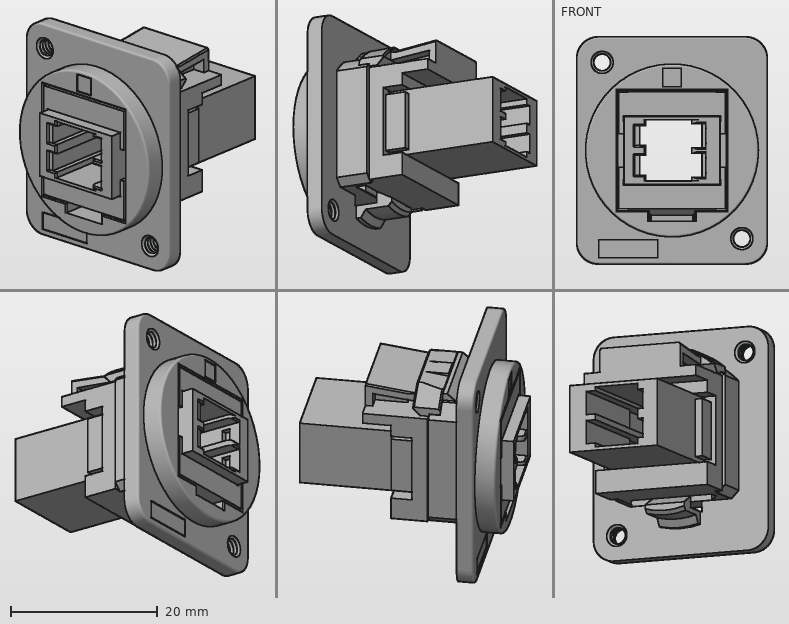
import cadquery as cq
import math


plate_width = 26.0
plate_height = 31.0
plate_thickness = 2.32
plate_corner = 3.0
boss_radius = 11.78
boss_depth = 2.82
edge_round = 0.3
boss_front = -(plate_thickness + boss_depth)

hole_x = 9.52
hole_z = 12.0
thread_minor = 2.25
thread_major = 3.0
thread_turns = 4

label_depth = 0.15
boss_label = (2.48, 2.48, 0.0, 9.95)
plate_label = (8.05, 2.48, -5.95, -13.4)

window_half_width = 7.4
window_half_height = 8.18
window_chamfer = 0.2
slot_half_width = 3.13
slot_floor = -9.6

shroud_half_width = 8.62
shroud_length = 4.65
shroud_top = 9.83
shroud_bevel = 1.1
catch_y = 3.13
catch_bar_top = 8.6
catch_opening_front = 0.7
latch_half_width = 5.98

clip_half_width = 2.88
clip_length = 5.5
clip_root_radius = 11.75
clip_root_length = 0.7
clip_arm_radius = 10.7
clip_arm_start = 1.5
clip_tip_chamfer = 0.53
hook_tip_z = -9.2

core_half_width = 7.22
frame_half_height = 7.97
frame_half_width = 8.3
flange_front = 4.85
pocket_y = 7.0
jaw_y = 9.9
shelf_y = 13.83
shelf_bottom = 6.48
rear_slot_half_height = 4.8
side_notch_half_height = 2.25
fit_gap = 0.1
lower_barb_start = 1.6
lower_barb_tip = -8.8

post_thickness = 1.0
arm_top_rear = 11.25
arm_top_front = 10.45
arm_bottom_rear = 9.9
arm_chamfer = 0.22
rib_half_width = 4.15
rib_front = 8.3
latch_bottom = 8.25
latch_toe_y = 5.9
barb_top = 10.85
barb_crest_y = 2.5
barb_nose_z = 9.3
head_half_width = 8.0
head_rear = 6.95
head_bottom = 9.3
head_chamfer = 0.22
head_top = 11.53
head_radius = 12.4
ramp_start_y = 6.2
ramp_end_z = 11.13
ramp_inner_x = 1.52

adapter_half_width = 6.5
adapter_half_height = 4.62
adapter_front = -6.75
adapter_rear = 22.85
ear_half_width = 7.6
ear_half_height = 3.97
ear_rear = 9.98
bore_left = -3.6
bore_right = 2.67
bore_half_height = 4.15
key_left = -4.37
key_bottom = 0.68
key_top = 3.35
key_chamfer = 0.22
key_entry_left = -5.05
slide_entry_right = 4.62
slide_right = 4.05
slide_bottom = 0.4
slide_top = 3.63
slide_step_y = (adapter_front + adapter_rear) / 2
slide_chamfer = 0.22
rib_nose_radius = 0.9
catch_window = (4.62, 5.55, -5.05, -3.78, 1.0, 3.05)


def block(x0, x1, y0, y1, z0, z1):
    """Box between opposite corners."""
    return cq.Workplane("XY").box(x1 - x0, y1 - y0, z1 - z0, centered=False).translate((x0, y0, z0))


def side_profile(points, half_width):
    """Prism from (y, z) points, centred on X = 0."""
    return cq.Workplane("YZ").polyline(points).close().extrude(half_width, both=True)


def flared_pocket(x0, x1, z0, z1, flare, front):
    """Tapered entry whose mouth is larger by `flare` on every side and as deep as `flare`."""
    mouth = cq.Workplane("XZ", origin=((x0 + x1) / 2, front + flare, (z0 + z1) / 2))
    return mouth.rect(x1 - x0, z1 - z0).extrude(flare, taper=-45)


def threaded_hole(x, z):
    """Cutter for a plate-deep hole whose thread is a stack of ring-shaped V grooves."""
    minor = thread_minor / 2
    major = thread_major / 2
    pitch = plate_thickness / thread_turns
    points = [(0, 0), (major, 0)]
    for turn in range(thread_turns):
        points.append((minor, (turn + 0.5) * pitch))
        points.append((major, (turn + 1) * pitch))
    points.append((0, plate_thickness))
    cutter = cq.Workplane("XY").polyline(points).close().revolve(360, (0, 0), (0, 1))
    return cutter.translate((x, -plate_thickness, z))


def label_recess(width, height, x, z, face_y):
    return block(x - width / 2, x + width / 2, face_y, face_y + label_depth, z - height / 2, z + height / 2)


def front_panel():
    """Round-cornered flange plate with the round boss on its front."""
    plate = cq.Workplane("XZ").rect(plate_width, plate_height).extrude(plate_thickness)
    plate = plate.edges("|Y").fillet(plate_corner).faces("<Y").edges().fillet(edge_round)
    boss = cq.Workplane("XZ").circle(boss_radius).extrude(-boss_front)
    return plate.union(boss.faces("<Y").edges().fillet(edge_round))


def shroud():
    """Round-cornered hood with an open bottom and an opening for the latch barb in its top."""
    shoulder_x = math.sqrt(boss_radius**2 - shroud_top**2)
    shoulder_z = math.sqrt(boss_radius**2 - shroud_half_width**2)
    middle = (math.atan2(shroud_top, shoulder_x) + math.atan2(shoulder_z, shroud_half_width)) / 2
    arc_x = boss_radius * math.cos(middle)
    arc_z = boss_radius * math.sin(middle)
    bottom = -window_half_height
    bevel_x = shroud_half_width - shroud_bevel
    body = (
        cq.Workplane("XZ")
        .moveTo(-shoulder_x, shroud_top)
        .lineTo(shoulder_x, shroud_top)
        .threePointArc((arc_x, arc_z), (shroud_half_width, shoulder_z))
        .lineTo(shroud_half_width, bottom + shroud_bevel)
        .lineTo(bevel_x, bottom)
        .lineTo(-bevel_x, bottom)
        .lineTo(-shroud_half_width, bottom + shroud_bevel)
        .lineTo(-shroud_half_width, shoulder_z)
        .threePointArc((-arc_x, arc_z), (-shoulder_x, shroud_top))
        .close()
        .extrude(-shroud_length)
    )
    side = shroud_half_width
    rear_step = block(-side, side, catch_y, shroud_length, catch_bar_top, shroud_top)
    half = latch_half_width
    barb_opening = block(-half, half, catch_opening_front, catch_y, 0, shroud_top)
    return body.cut(rear_step).cut(barb_opening)


def spring_clip():
    """Hooked tongue whose underside is a surface of revolution about the Y axis."""
    hook_top = -frame_half_height
    side = side_profile(
        [
            (0, slot_floor),
            (catch_y, slot_floor),
            (catch_y, hook_top),
            (clip_length, hook_tip_z),
            (clip_length, -clip_root_radius),
            (0, -clip_root_radius),
        ],
        clip_half_width,
    )
    underside = (
        cq.Workplane("XY")
        .polyline(
            [
                (0, 0),
                (clip_root_radius, 0),
                (clip_root_radius, clip_root_length),
                (clip_arm_radius, clip_arm_start),
                (clip_arm_radius, clip_length - clip_tip_chamfer),
                (clip_arm_radius - clip_tip_chamfer, clip_length),
                (0, clip_length),
            ]
        )
        .close()
        .revolve(360, (0, 0), (0, 1))
    )
    return side.intersect(underside)


def make_housing():
    w = window_half_width
    h = window_half_height
    body = front_panel().union(shroud())
    body = body.cut(block(-w, w, boss_front, shroud_length, -h, h))
    body = body.cut(block(-slot_half_width, slot_half_width, boss_front, 0, slot_floor, -h))
    body = body.faces("<Y").edges("%LINE and (not <Z)").chamfer(window_chamfer)
    body = body.union(spring_clip())
    body = body.cut(label_recess(*boss_label, boss_front))
    body = body.cut(label_recess(*plate_label, -plate_thickness))
    for sign in (-1, 1):
        body = body.cut(threaded_hole(sign * hole_x, -sign * hole_z))
    return body


def latch_arm():
    """Post, sloping arm and barb, with a groove underneath for the catch bar of the housing."""
    post_front = shelf_y - post_thickness
    arm = side_profile(
        [
            (shelf_y, frame_half_height),
            (shelf_y, arm_top_rear),
            (head_rear, arm_top_front),
            (catch_y, barb_top),
            (barb_crest_y, barb_top),
            (catch_opening_front, barb_nose_z),
            (catch_opening_front, latch_bottom),
            (catch_y, latch_bottom),
            (catch_y, catch_bar_top),
            (shroud_length, catch_bar_top),
            (shroud_length, latch_bottom),
            (latch_toe_y, latch_bottom),
            (head_rear, head_bottom),
            (post_front, arm_bottom_rear),
            (post_front, frame_half_height),
        ],
        latch_half_width,
    )
    reach = 0.3
    mid_y = (shelf_y + head_rear) / 2
    mid_z = (arm_top_rear + arm_top_front) / 2
    for x in (-latch_half_width, latch_half_width):
        near = cq.selectors.BoxSelector(
            (x - reach, mid_y - reach, mid_z - reach), (x + reach, mid_y + reach, mid_z + reach)
        )
        arm = arm.edges(near).chamfer(arm_chamfer)
    rib = side_profile(
        [
            (post_front, frame_half_height),
            (post_front, arm_bottom_rear),
            (head_rear, head_bottom),
            (rib_front, head_bottom),
            (rib_front, frame_half_height),
        ],
        rib_half_width,
    )
    return arm.union(rib)


def latch_head():
    """Wide thumb piece: a round top trimmed flat, with a sloping ramp on each side of the middle."""
    head_depth = head_rear - catch_y
    head = cq.Workplane("XZ", origin=(0, catch_y, 0)).circle(head_radius).extrude(-head_depth)
    head = head.faces("|Y").edges().chamfer(head_chamfer)
    trim = side_profile(
        [
            (catch_y, catch_bar_top),
            (shroud_length, catch_bar_top),
            (shroud_length, latch_bottom),
            (latch_toe_y, latch_bottom),
            (head_rear, head_bottom),
            (head_rear, head_top - head_chamfer),
            (head_rear - head_chamfer, head_top),
            (catch_y, head_top),
        ],
        head_half_width,
    )
    ramp = side_profile(
        [(ramp_start_y, head_top), (catch_y, head_top), (catch_y, ramp_end_z)],
        head_half_width,
    )
    middle = block(-ramp_inner_x, ramp_inner_x, catch_y, ramp_start_y, head_bottom, head_top)
    return head.intersect(trim).cut(ramp.cut(middle))


def make_frame():
    h = frame_half_height
    wide = frame_half_width
    core = block(-core_half_width, core_half_width, boss_front, flange_front, -h, h)
    rear = side_profile(
        [
            (flange_front, -h),
            (jaw_y, -h),
            (jaw_y, -rear_slot_half_height),
            (pocket_y, -rear_slot_half_height),
            (pocket_y, rear_slot_half_height),
            (jaw_y, rear_slot_half_height),
            (jaw_y, shelf_bottom),
            (shelf_y, shelf_bottom),
            (shelf_y, h),
            (flange_front, h),
        ],
        wide,
    )
    lower_barb = side_profile(
        [(lower_barb_start, -h), (catch_y, -h), (catch_y, lower_barb_tip)], latch_half_width
    )
    body = core.union(rear).union(lower_barb)
    opening_x = adapter_half_width + fit_gap
    opening_z = adapter_half_height + fit_gap
    body = body.cut(block(-opening_x, opening_x, boss_front, pocket_y, -opening_z, opening_z))
    notch = side_notch_half_height
    body = body.cut(block(-core_half_width, core_half_width, boss_front, flange_front, -notch, notch))
    return body.union(latch_arm()).union(latch_head())


def port_keyways(sign):
    """Cutters on both sides of one port; `sign` is +1 for the upper port, -1 for the lower one."""
    key_z = sorted((sign * key_bottom, sign * key_top))
    slide_z = sorted((sign * slide_bottom, sign * slide_top))
    x0, x1, y0, y1, z0, z1 = catch_window
    window_z = sorted((sign * z0, sign * z1))
    key = block(key_left, bore_left, adapter_front, adapter_rear, *key_z)
    slide = block(bore_right, slide_right, adapter_front, adapter_rear, *slide_z)
    slide_entry = block(bore_right, slide_entry_right, adapter_front, slide_step_y, *slide_z)
    return (
        key.union(flared_pocket(key_entry_left, bore_left, *key_z, key_chamfer, adapter_front))
        .union(slide)
        .union(slide_entry)
        .union(block(x0, x1, y0, y1, *window_z))
    )


def rib_nose():
    """Cutter that rounds the front corner of the ribs between the slideways."""
    corner = block(
        bore_right,
        bore_right + rib_nose_radius,
        adapter_front,
        adapter_front + rib_nose_radius,
        -bore_half_height,
        bore_half_height,
    )
    rod = cq.Workplane("XY", origin=(0, 0, -bore_half_height)).center(
        bore_right + rib_nose_radius, adapter_front + rib_nose_radius
    )
    return corner.cut(rod.circle(rib_nose_radius).extrude(2 * bore_half_height))


def rib_chamfers(sign):
    """Cutter that bevels the front edges of the ribs above and below one slideway."""
    slide_z = sorted((sign * slide_bottom, sign * slide_top))
    flare = flared_pocket(bore_right, slide_entry_right, *slide_z, slide_chamfer, adapter_front)
    return flare.intersect(
        block(bore_right, slide_entry_right, adapter_front, slide_step_y, -bore_half_height, bore_half_height)
    )


def bore_lip():
    """Cutter that bevels the left front edge of the bore."""
    return (
        cq.Workplane("XY", origin=(0, 0, -bore_half_height))
        .polyline(
            [
                (bore_left, adapter_front),
                (bore_left - key_chamfer, adapter_front),
                (bore_left, adapter_front + key_chamfer),
            ]
        )
        .close()
        .extrude(2 * bore_half_height)
    )


def make_adapter():
    w = adapter_half_width
    h = adapter_half_height
    body = block(-w, w, adapter_front, adapter_rear, -h, h)
    ears = block(-ear_half_width, ear_half_width, pocket_y, ear_rear, -ear_half_height, ear_half_height)
    body = body.union(ears)
    bore = bore_half_height
    body = body.cut(block(bore_left, bore_right, adapter_front, adapter_rear, -bore, bore))
    body = body.cut(rib_nose()).cut(bore_lip())
    for sign in (1, -1):
        body = body.cut(port_keyways(sign)).cut(rib_chamfers(sign))
    return body


housing = make_housing()
frame = make_frame()
adapter = make_adapter()
result = cq.Compound.makeCompound([body.solids().val() for body in (housing, frame, adapter)])